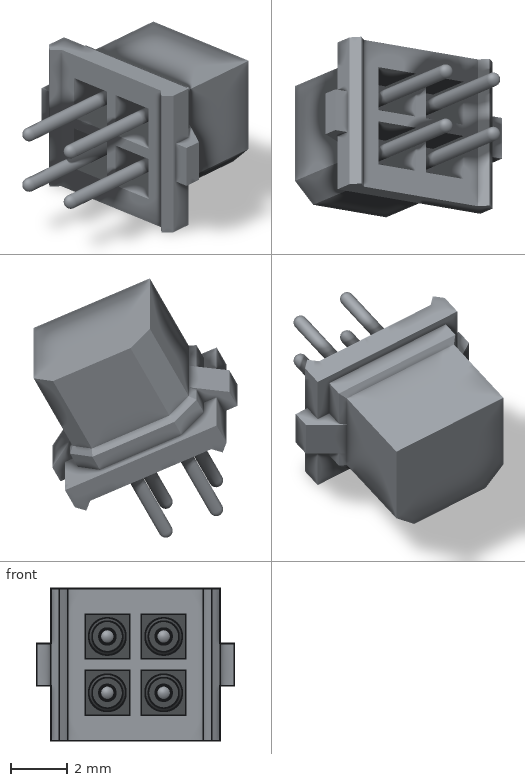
import cadquery as cq


PLATE_WIDTH = 6.0
PLATE_HEIGHT = 5.4
PLATE_THICKNESS = 0.79
RIDGE_HEIGHT = 0.3
RIDGE_WIDTH = 2 * RIDGE_HEIGHT

HOUSING_DEPTH = 4.7
PLUG_WIDTH = 4.6
PLUG_HEIGHT = 4.255
PLUG_CORNER_CUT = 0.77

COLLAR_DEPTH = 0.81
COLLAR_MARGIN = 0.2
SHOULDER_Y = PLATE_THICKNESS + COLLAR_DEPTH

EAR_SPAN = 7.0
EAR_HEIGHT = 1.5
EAR_FRONT_Y = 0.15

PITCH = 2.0
POCKET_SIZE = 1.58
POCKET_DEPTH = PITCH

SLEEVE_DIAMETER = 1.32
SLEEVE_FACE_DIAMETER = 1.08
SLEEVE_CHAMFER_LENGTH = 0.2
SLEEVE_SEAT_DEPTH = 1.0
SLEEVE_FRONT_Y = POCKET_DEPTH - SLEEVE_CHAMFER_LENGTH
SLEEVE_BACK_Y = POCKET_DEPTH + SLEEVE_SEAT_DEPTH

TAIL_DIAMETER = 0.5
TAIL_REACH = 3.45
ROOT_DIAMETER = 0.595
ROOT_TAPER_LENGTH = 0.1

CONTACT_CENTRES = [(x, z) for x in (-PITCH / 2, PITCH / 2) for z in (-PITCH / 2, PITCH / 2)]


def xz_plane(y):
    """XZ plane at the given Y; its local axes are X and Z, and extrusion runs toward +Y."""
    return cq.Workplane(cq.Plane(origin=(0, y, 0), xDir=(-1, 0, 0), normal=(0, 1, 0)))


def make_plate():
    """Flange plate with its two ridges, extruded along the height."""
    half = PLATE_WIDTH / 2
    outline = [
        (-half, PLATE_THICKNESS),
        (-half, 0),
        (-half + RIDGE_WIDTH / 2, -RIDGE_HEIGHT),
        (-half + RIDGE_WIDTH, 0),
        (half - RIDGE_WIDTH, 0),
        (half - RIDGE_WIDTH / 2, -RIDGE_HEIGHT),
        (half, 0),
        (half, PLATE_THICKNESS),
    ]
    return cq.Workplane("XY").polyline(outline).close().extrude(PLATE_HEIGHT / 2, both=True)


def plug_outline(y):
    """Plug cross-section at the given Y."""
    side = PLUG_WIDTH / 2
    top = PLUG_HEIGHT / 2
    outline = [
        (-side, top),
        (side, top),
        (side, -top + PLUG_CORNER_CUT),
        (side - PLUG_CORNER_CUT, -top),
        (-side + PLUG_CORNER_CUT, -top),
        (-side, -top + PLUG_CORNER_CUT),
    ]
    return xz_plane(y).polyline(outline).close()


def make_plug():
    """Plug from the back of the plate to the housing's end."""
    return plug_outline(PLATE_THICKNESS).extrude(HOUSING_DEPTH - PLATE_THICKNESS)


def make_collar():
    """Collar around the plug, bevelled at its +Y end."""
    collar = plug_outline(PLATE_THICKNESS).offset2D(COLLAR_MARGIN, "intersection").extrude(COLLAR_DEPTH)
    return collar.faces(">Y").chamfer(COLLAR_MARGIN)


def make_ears():
    """Both latch ears as one bar across the housing, sloping back to the plug's sides."""
    tip = EAR_SPAN / 2
    root = PLUG_WIDTH / 2
    outline = [
        (-tip, EAR_FRONT_Y),
        (tip, EAR_FRONT_Y),
        (tip, PLATE_THICKNESS),
        (root, SHOULDER_Y),
        (-root, SHOULDER_Y),
        (-tip, PLATE_THICKNESS),
    ]
    return cq.Workplane("XY").polyline(outline).close().extrude(EAR_HEIGHT / 2, both=True)


def make_housing():
    """Housing with a square pocket and a round sleeve seat for each contact."""
    pockets = xz_plane(0).pushPoints(CONTACT_CENTRES).rect(POCKET_SIZE, POCKET_SIZE).extrude(POCKET_DEPTH)
    seats = (
        xz_plane(POCKET_DEPTH)
        .pushPoints(CONTACT_CENTRES)
        .circle(SLEEVE_DIAMETER / 2)
        .extrude(SLEEVE_SEAT_DEPTH)
    )
    solid_block = make_plate().union(make_plug()).union(make_collar()).union(make_ears())
    return solid_block.cut(pockets).cut(seats)


def make_sleeve(x, z):
    """Round sleeve with a chamfered front rim and a bore that fits the pin's root."""
    bore_radius = ROOT_DIAMETER / 2
    outer_radius = SLEEVE_DIAMETER / 2
    sleeve = (
        cq.Workplane("XY")
        .moveTo(bore_radius, SLEEVE_FRONT_Y)
        .lineTo(SLEEVE_FACE_DIAMETER / 2, SLEEVE_FRONT_Y)
        .lineTo(outer_radius, SLEEVE_FRONT_Y + SLEEVE_CHAMFER_LENGTH)
        .lineTo(outer_radius, SLEEVE_BACK_Y)
        .lineTo(bore_radius, SLEEVE_BACK_Y)
        .close()
        .revolve(360, (0, 0), (0, 1))
    )
    return sleeve.translate((x, 0, z))


def make_pin(x, z):
    """Pin turned about its own axis, with a hemispherical tip and a root that tapers to the tail."""
    tail_radius = TAIL_DIAMETER / 2
    root_radius = ROOT_DIAMETER / 2
    dome_start_y = -TAIL_REACH + tail_radius
    dome_middle = (tail_radius * 0.5**0.5, dome_start_y - tail_radius * 0.5**0.5)
    pin = (
        cq.Workplane("XY")
        .moveTo(0, -TAIL_REACH)
        .threePointArc(dome_middle, (tail_radius, dome_start_y))
        .lineTo(tail_radius, SLEEVE_FRONT_Y - ROOT_TAPER_LENGTH)
        .lineTo(root_radius, SLEEVE_FRONT_Y)
        .lineTo(root_radius, SLEEVE_BACK_Y)
        .lineTo(0, SLEEVE_BACK_Y)
        .close()
        .revolve(360, (0, 0), (0, 1))
    )
    return pin.translate((x, 0, z))


housing = make_housing()
sleeves = [make_sleeve(x, z) for x, z in CONTACT_CENTRES]
pins = [make_pin(x, z) for x, z in CONTACT_CENTRES]

result = cq.Compound.makeCompound([body.val() for body in [housing, *sleeves, *pins]])